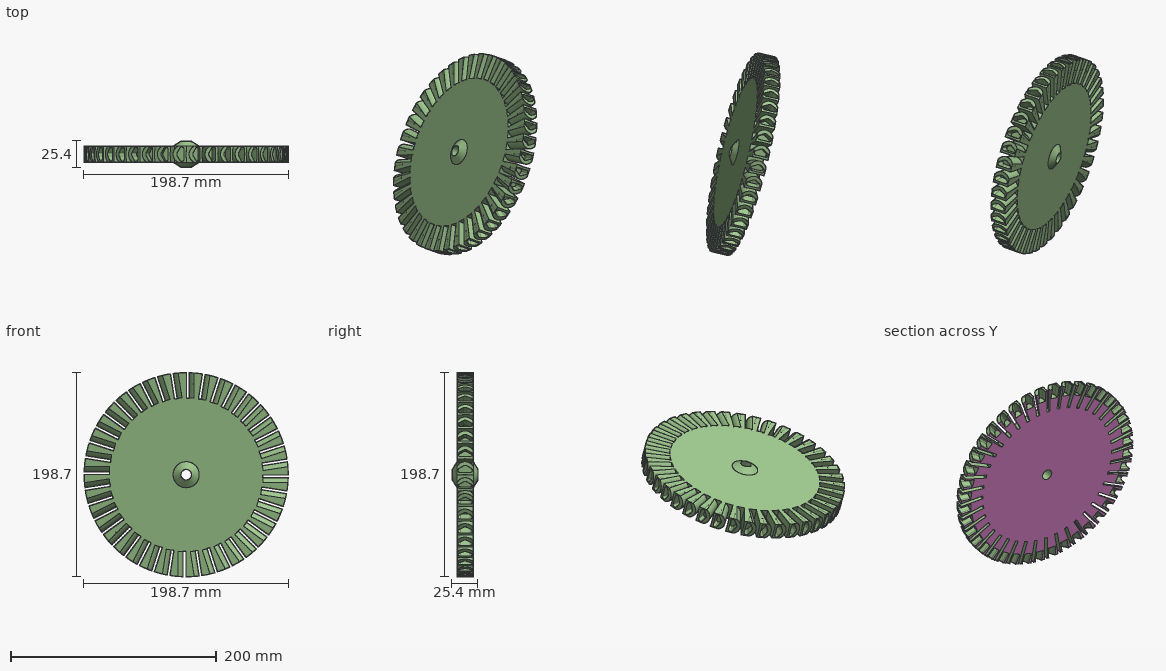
import cadquery as cq
import math

WHEEL_DIAMETER = 198.73
WHEEL_RADIUS = WHEEL_DIAMETER / 2
WHEEL_WIDTH = 15.875
HUB_LENGTH = 25.4
HUB_BASE_RADIUS = 12.7
BORE_RADIUS = 5.08

CUT_OVERRUN = 1

BUCKET_COUNT = 40
PITCH_ANGLE = 360 / BUCKET_COUNT
SLOT_FLOOR_RADIUS = 74.6
SLOT_GAP = 2.85
SLOT_MOUTH = 7.75
BUCKET_BACK_SAG = 0.4

POCKET_DEPTH = 11.1
POCKET_BACK_WALL = 2.1
POCKET_LENGTH = 7.5
POCKET_WIDTH = 13.9
POCKET_NOSE_SLOPE = 30
POCKET_CORNER_RADIUS = 2.2
POCKET_NOSE_RADIUS = 3.0


def make_wheel():
    """Disc with a cone on each face, revolved about Y."""
    half_width = WHEEL_WIDTH / 2
    half_hub = HUB_LENGTH / 2
    return (
        cq.Workplane("XY")
        .moveTo(BORE_RADIUS, -half_hub)
        .lineTo(HUB_BASE_RADIUS, -half_width)
        .lineTo(WHEEL_RADIUS, -half_width)
        .lineTo(WHEEL_RADIUS, half_width)
        .lineTo(HUB_BASE_RADIUS, half_width)
        .lineTo(BORE_RADIUS, half_hub)
        .close()
        .revolve(360, (0, 0, 0), (0, 1, 0))
    )


def make_slot():
    """Slot at +Z, from the shallow hollow back of one bucket to the arched nose of the next."""
    half_width = WHEEL_WIDTH / 2
    return (
        cq.Workplane("XY", origin=(0, 0, SLOT_FLOOR_RADIUS))
        .moveTo(BUCKET_BACK_SAG, -half_width)
        .lineTo(SLOT_MOUTH, -half_width)
        .threePointArc((SLOT_GAP, 0), (SLOT_MOUTH, half_width))
        .lineTo(BUCKET_BACK_SAG, half_width)
        .threePointArc((0, 0), (BUCKET_BACK_SAG, -half_width))
        .close()
        .extrude(WHEEL_RADIUS - SLOT_FLOOR_RADIUS + CUT_OVERRUN)
    )


def make_pocket():
    """Blind pocket behind the bucket back at X = 0: a pentagon with rounded corners."""
    half_width = POCKET_WIDTH / 2
    back_x = -POCKET_BACK_WALL
    tip_x = back_x - POCKET_LENGTH
    shoulder_x = tip_x + half_width * math.tan(math.radians(POCKET_NOSE_SLOPE))
    return (
        cq.Workplane("XY", origin=(0, 0, WHEEL_RADIUS - POCKET_DEPTH))
        .moveTo(back_x, -half_width)
        .lineTo(back_x, half_width)
        .lineTo(shoulder_x, half_width)
        .lineTo(tip_x, 0)
        .lineTo(shoulder_x, -half_width)
        .close()
        .extrude(POCKET_DEPTH + CUT_OVERRUN)
        .edges("|Z and (not <X)")
        .fillet(POCKET_CORNER_RADIUS)
        .edges("|Z and <X")
        .fillet(POCKET_NOSE_RADIUS)
    )


def repeat_around_axis(body):
    """Copies of the body at every bucket pitch about Y."""
    solid = body.val()
    return [
        solid.rotate(cq.Vector(0, 0, 0), cq.Vector(0, 1, 0), index * PITCH_ANGLE)
        for index in range(BUCKET_COUNT)
    ]


cutters = repeat_around_axis(make_slot()) + repeat_around_axis(make_pocket())
wheel = make_wheel().val().cut(*cutters)
result = cq.Workplane("XY").newObject([wheel])